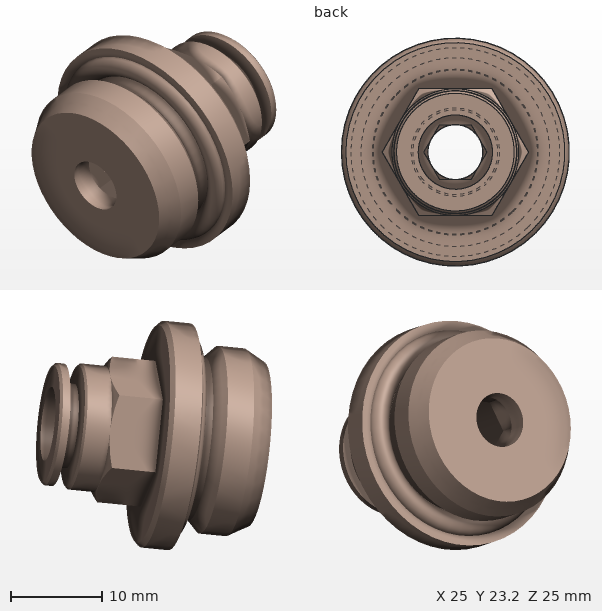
import cadquery as cq
import math


total_length = 23.2

thread_diameter = 20.7
thread_tip_diameter = 18.2
thread_tip_end = 2.25
thread_end = 5.2
relief_diameter = 18.0
relief_start = 6.55

flange_diameter = 25.0
flange_start = 8.5
flange_end = 12.0
flange_chamfer = 0.5
seal_outer_diameter = 22.9
seal_section_radius = 1.25
seal_height = 0.9

hex_across_flats = 13.9
hex_end = 17.48
hex_chamfer_angle = 30.0

body_diameter = hex_across_flats
body_end = 20.2
body_chamfer = 0.25
body_face_diameter = 13.4

neck_diameter = 9.3
neck_start = 20.7
neck_end = 21.8
neck_flare_diameter = 9.7
collar_diameter = 13.5
collar_start = 22.05
collar_chamfer = 0.3

bore_diameter = 6.0
bore_depth = 2.5
socket_across_flats = 6.0
tube_diameter = 8.15
tube_floor = 5.0


def y_plane(station):
    """Plane facing +Y at a station, with its local x along the part's X."""
    origin = (0, station - total_length / 2, 0)
    return cq.Workplane(cq.Plane(origin=origin, xDir=(1, 0, 0), normal=(0, 1, 0)))


def cylinder(diameter, start, end):
    return y_plane(start).circle(diameter / 2).extrude(end - start)


def hexagon(across_flats, start, end):
    """Hexagonal prism with two flats facing +Z and -Z."""
    across_corners = across_flats / math.cos(math.radians(30))
    return y_plane(start).polygon(6, across_corners).extrude(end - start)


def turned(points):
    """Revolve a closed outline of (diameter, station) points about the Y axis."""
    outline = [(diameter / 2, station - total_length / 2) for diameter, station in points]
    return cq.Workplane("XY").polyline(outline).close().revolve(360, (0, 0), (0, 1))


def threaded_end():
    """Thread envelope, relief groove and flange."""
    return turned([
        (0, 0),
        (thread_tip_diameter, 0),
        (thread_diameter, thread_tip_end),
        (thread_diameter, thread_end),
        (relief_diameter, relief_start),
        (relief_diameter, flange_start),
        (flange_diameter, flange_start),
        (flange_diameter, flange_end - flange_chamfer),
        (flange_diameter - 2 * flange_chamfer, flange_end),
        (0, flange_end),
    ])


def tube_end():
    """Body above the hexagon, neck and release collar."""
    return turned([
        (0, hex_end),
        (body_diameter, hex_end),
        (body_diameter, body_end),
        (body_face_diameter, body_end + body_chamfer),
        (neck_diameter, neck_start),
        (neck_diameter, neck_end),
        (neck_flare_diameter, collar_start),
        (collar_diameter, collar_start),
        (collar_diameter, total_length - collar_chamfer),
        (collar_diameter - 2 * collar_chamfer, total_length),
        (0, total_length),
    ])


def seal_ring():
    """Round-section ring, partly sunk into the threaded side of the flange."""
    centre_station = flange_start - seal_height + seal_section_radius
    sunk = centre_station - flange_start
    half_width = math.sqrt(seal_section_radius**2 - sunk**2)
    centre_radius = seal_outer_diameter / 2 - half_width
    return (
        cq.Workplane("XY")
        .center(centre_radius, centre_station - total_length / 2)
        .circle(seal_section_radius)
        .revolve(360, (-centre_radius, 0), (-centre_radius, 1))
    )


def wrench_hex():
    """Hexagon whose corners are cut back by a cone widening from the tube-side body."""
    slope = math.tan(math.radians(hex_chamfer_angle))
    cone_drop = (flange_diameter - body_diameter) / 2 * slope
    cone = turned([
        (0, flange_end),
        (flange_diameter, flange_end),
        (flange_diameter, hex_end - cone_drop),
        (body_diameter, hex_end),
        (0, hex_end),
    ])
    return hexagon(hex_across_flats, flange_end, hex_end).intersect(cone)


def passage():
    """Round inlet, hexagon socket and tube bore, one behind the other."""
    inlet = cylinder(bore_diameter, 0, bore_depth)
    socket = hexagon(socket_across_flats, bore_depth, tube_floor)
    tube_bore = cylinder(tube_diameter, tube_floor, total_length)
    return inlet.union(socket).union(tube_bore)


outside = threaded_end().union(seal_ring()).union(wrench_hex()).union(tube_end())
result = outside.cut(passage())